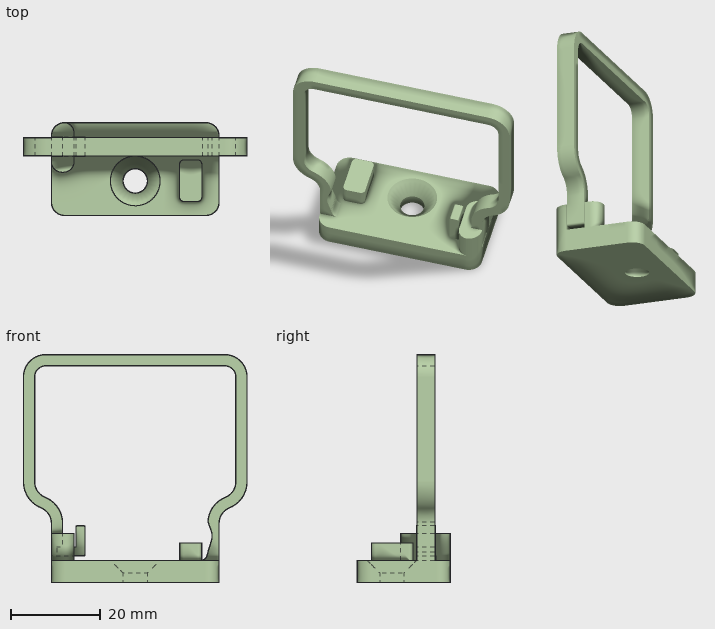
import cadquery as cq
import math

total_height = 50.95
loop_width = 50.0
loop_half_width = loop_width / 2
strip = 2.55
strip_depth = 4.1
loop_y = 5.0
top_radius = 5.0
shoulder_z = 22.55
bend_radius = 5.0

base_length = 37.5
base_width = 20.8
base_height = 5.0
base_radius = 3.0
base_edge = base_length / 2

hole_y = -2.65
hole_diameter = 5.4
sink_diameter = 11.1
sink_angle = 90

block_length = 5.0
block_width = 9.3
block_top = 8.85
block_x = 12.4
block_y = -2.6
block_radius = 0.95

post_width = 5.1
post_radius = 2.4
post_length = 11.1
post_top = 11.0
post_x = -base_edge + post_width / 2
post_y = base_width / 2 - post_length / 2

clip_depth = 4.3
hook_bottom = 5.95
hook_web_top = 8.0
hook_top = 12.75
hook_end = -11.2
hook_thickness = 2.05
hook_rounding = 0.3
hook_heel_radius = 0.4

hollow_start = (16.25, 13.55)
hollow_curve = [(16.7, 12.25), (17.15, 10.95), (16.8, 8.75)]
foot_neck = (16.0, 6.05)
foot_flare = (15.65, 5.4)
foot_toe_x = 15.0
foot_top_x = 16.6
hollow_clear_x = 14.25

leg_outer = base_edge
bend_width = (loop_half_width - leg_outer) / 2
bend_angle = math.acos(1 - bend_width / bend_radius)
bend_height = bend_radius * math.sin(bend_angle)
leg_z = shoulder_z - 2 * bend_height


def slab(profile, depth):
    """Extrude an XZ profile symmetrically about the loop's mid-plane."""
    return profile.extrude(depth / 2, both=True).translate((0, loop_y, 0))


def shoulder_points(inset):
    """Middle and end points of the two bends on the +X side, for a line inset from the outer face."""
    upper_radius = bend_radius + strip / 2 - inset
    lower_radius = bend_radius - strip / 2 + inset
    upper_center = loop_half_width - strip / 2 - bend_radius
    lower_center = leg_outer - strip / 2 + bend_radius

    def upper(angle):
        return (upper_center + upper_radius * math.cos(angle), shoulder_z - upper_radius * math.sin(angle))

    def lower(angle):
        return (lower_center - lower_radius * math.cos(angle), leg_z + lower_radius * math.sin(angle))

    return upper(bend_angle / 2), upper(bend_angle), lower(bend_angle / 2), lower(0)


def loop_outline(inset, bottom):
    """Closed outline of the loop, inset from its outer face and running down to the given height."""
    side = loop_half_width - inset
    leg = leg_outer - inset
    top = total_height - inset
    radius = top_radius - inset
    corner = radius * (1 - math.sqrt(0.5))
    upper_mid, inflection, lower_mid, leg_start = shoulder_points(inset)

    def mirrored(point):
        return (-point[0], point[1])

    return (
        cq.Workplane("XZ")
        .moveTo(leg, bottom)
        .lineTo(*leg_start)
        .threePointArc(lower_mid, inflection)
        .threePointArc(upper_mid, (side, shoulder_z))
        .lineTo(side, top - radius)
        .threePointArc((side - corner, top - corner), (side - radius, top))
        .lineTo(radius - side, top)
        .threePointArc((corner - side, top - corner), (-side, top - radius))
        .lineTo(-side, shoulder_z)
        .threePointArc(mirrored(upper_mid), mirrored(inflection))
        .threePointArc(mirrored(lower_mid), mirrored(leg_start))
        .lineTo(-leg, bottom)
        .close()
    )


def make_loop():
    outer = slab(loop_outline(0, hook_bottom), strip_depth)
    inner = slab(loop_outline(strip, hook_bottom), strip_depth)
    loop = outer.cut(inner)
    hollow = (
        cq.Workplane("XZ")
        .moveTo(*hollow_start)
        .spline(hollow_curve + [foot_neck], includeCurrent=True)
        .lineTo(hollow_clear_x, foot_neck[1])
        .lineTo(hollow_clear_x, hollow_start[1])
        .close()
    )
    heel = cq.selectors.NearestToPointSelector((-leg_outer, loop_y, hook_bottom))
    return loop.cut(slab(hollow, strip_depth)).edges("|Y").edges(heel).fillet(hook_heel_radius)


def make_foot():
    profile = (
        cq.Workplane("XZ")
        .moveTo(base_edge, base_height)
        .lineTo(base_edge, hook_web_top)
        .lineTo(foot_top_x, hook_web_top)
        .lineTo(*foot_neck)
        .threePointArc(foot_flare, (foot_toe_x, base_height))
        .close()
    )
    return slab(profile, strip_depth)


def make_base():
    base = (
        cq.Workplane("XY")
        .rect(base_length, base_width)
        .extrude(base_height)
        .edges("|Z")
        .fillet(base_radius)
    )
    block = (
        cq.Workplane("XY")
        .center(block_x, block_y)
        .rect(block_length, block_width)
        .extrude(block_top)
        .edges("|Z")
        .fillet(block_radius)
    )
    return (
        base.union(block)
        .copyWorkplane(cq.Workplane("XY", origin=(0, hole_y, base_height)))
        .cskHole(hole_diameter, sink_diameter, sink_angle)
    )


def make_post():
    post = (
        cq.Workplane("XY", origin=(post_x, post_y, 0))
        .rect(post_width, post_length)
        .extrude(post_top)
        .edges("|Z")
        .fillet(post_radius)
    )
    envelope = (
        cq.Workplane("XY")
        .rect(base_length, base_width)
        .extrude(post_top)
        .edges("|Z")
        .fillet(base_radius)
    )
    opening_height = hook_bottom + hook_heel_radius - base_height
    opening = (
        cq.Workplane("XY", origin=(post_x, loop_y, base_height))
        .box(post_width, clip_depth, opening_height, centered=(True, True, False))
    )
    groove = (
        cq.Workplane("XY", origin=(-leg_outer + strip / 2, loop_y, base_height))
        .box(strip, clip_depth, post_top - base_height, centered=(True, True, False))
    )
    return post.intersect(envelope).cut(opening).cut(groove)


def make_hook():
    web_start = strip / 2 - leg_outer
    profile = (
        cq.Workplane("XZ")
        .moveTo(web_start, hook_bottom)
        .lineTo(hook_end, hook_bottom)
        .lineTo(hook_end, hook_top)
        .lineTo(hook_end - hook_thickness, hook_top)
        .lineTo(hook_end - hook_thickness, hook_web_top)
        .lineTo(web_start, hook_web_top)
        .close()
    )
    hook = slab(profile, clip_depth)
    return hook.edges("|Y and >Z").fillet(hook_rounding).edges("|Y and >X and <Z").fillet(hook_rounding)


result = make_base().union(make_post()).union(make_hook()).union(make_loop()).union(make_foot()).clean()